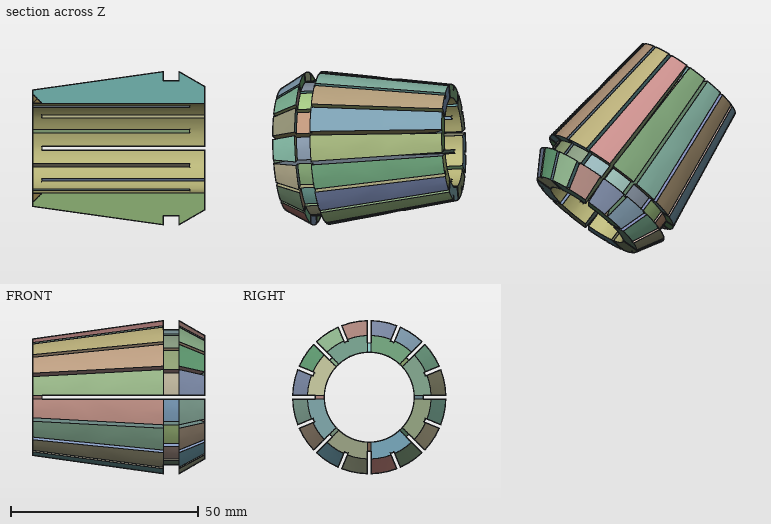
import cadquery as cq
import math

LENGTH = 46.0
MAX_DIAMETER = 41.0
BORE_DIAMETER = 24.0

TAPER_ANGLE = 8.0
NOSE_ANGLE = 30.0
NOSE_LENGTH = 6.9
GROOVE_WIDTH = 4.2
GROOVE_DIAMETER = 36.2

SLOTS_PER_END = 8
SLOT_WIDTH = 1.0
REAR_WEB = 2.5
NOSE_WEB = 4.1
CUT_CLEARANCE = 1.0

REAR_X = -LENGTH / 2
FRONT_X = LENGTH / 2
MAX_RADIUS = MAX_DIAMETER / 2
BORE_RADIUS = BORE_DIAMETER / 2
SLOT_PITCH = 360.0 / SLOTS_PER_END


def collet_body():
    """Bored double cone with a groove between the taper and the nose."""
    groove_radius = GROOVE_DIAMETER / 2
    nose_start = FRONT_X - NOSE_LENGTH
    groove_start = nose_start - GROOVE_WIDTH
    rear_radius = MAX_RADIUS - (groove_start - REAR_X) * math.tan(math.radians(TAPER_ANGLE))
    nose_radius = MAX_RADIUS - NOSE_LENGTH * math.tan(math.radians(NOSE_ANGLE))
    profile = [
        (REAR_X, BORE_RADIUS),
        (REAR_X, rear_radius),
        (groove_start, MAX_RADIUS),
        (groove_start, groove_radius),
        (nose_start, groove_radius),
        (nose_start, MAX_RADIUS),
        (FRONT_X, nose_radius),
        (FRONT_X, BORE_RADIUS),
    ]
    return cq.Workplane("XY").polyline(profile).close().revolve(360, (0, 0, 0), (1, 0, 0))


def slot_blade(closed_x, open_x, web):
    """Blade above the axis that cuts the full length but slopes out at 45 degrees at closed_x."""
    root_radius = BORE_RADIUS - CUT_CLEARANCE
    tip_radius = MAX_RADIUS + CUT_CLEARANCE
    floor_radius = BORE_RADIUS + web
    inward = math.copysign(1.0, open_x - closed_x)
    outline = [
        (closed_x, tip_radius),
        (closed_x, floor_radius),
        (closed_x + inward * (floor_radius - root_radius), root_radius),
        (open_x, root_radius),
        (open_x, tip_radius),
    ]
    return cq.Workplane("XZ").polyline(outline).close().extrude(SLOT_WIDTH / 2, both=True)


def cut_slots(body, blade, first_angle):
    """Cut the blade into the body at equal steps around the X axis."""
    for index in range(SLOTS_PER_END):
        body = body.cut(blade.rotate((0, 0, 0), (1, 0, 0), first_angle + index * SLOT_PITCH))
    return body


nose_slot = slot_blade(REAR_X, FRONT_X, REAR_WEB)
rear_slot = slot_blade(FRONT_X, REAR_X, NOSE_WEB)

result = collet_body()
result = cut_slots(result, nose_slot, 0.0)
result = cut_slots(result, rear_slot, SLOT_PITCH / 2)